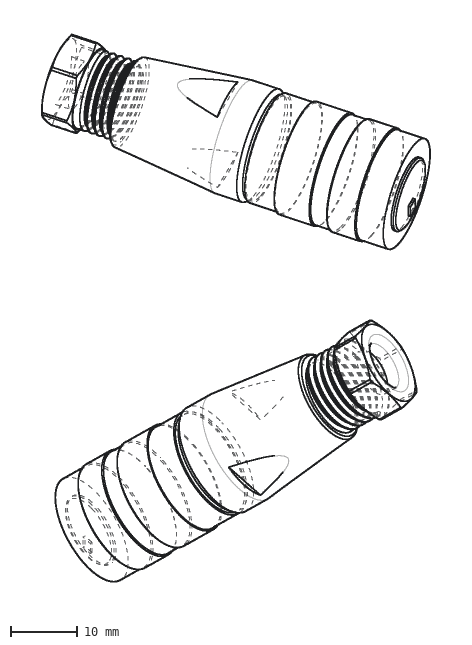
import cadquery as cq
import math

total_length = 58.25

nut_length = 5.0
nut_across_flats = 13.05
nut_corner_dia = 14.8
nut_face_dia = 12.95
nut_front_chamfer = 0.4
nut_back_chamfer = 0.45

bore_dia = 7.6
bore_depth = 3.15
bore_mouth_radius = 1.05

thread_dia = 12.5
four_turn_advance = 5.0
thread_pitch = four_turn_advance / 4
thread_depth = 0.65
thread_start_x = 5.6
thread_start_angle = -53.0
crest_width = 0.2
root_width = 0.2
shank_overlap = 3.8
root_radius = thread_dia / 2 - thread_depth

sleeve_start_x = 11.3
sleeve_end_x = 28.8
sleeve_start_dia = 14.35
sleeve_chamfer = 0.35
flat_end_x = 27.7
flats_width = 16.0

body_dia = 18.0
shell_dia = 17.6
barrel_dia = 17.5
neck_dia = 16.7
ring_chamfer = 0.2
neck_start_x = 33.2
neck_slope = 0.7
neck_end_x = 34.4
wide_ring_x = 39.4
wide_ring_end_x = 45.3
narrow_ring_x = 47.95
narrow_ring_end_x = 52.85
shell_end_x = 57.25

insert_dia = 11.7
insert_end_x = 57.9
insert_chamfer = 0.3
key_width = 1.75
key_bottom_z = -3.8
key_top_z = -1.65


def revolve_profile(points):
    """Solid of revolution about X from (x, radius) outline points, closed along the axis."""
    first_x = points[0][0]
    last_x = points[-1][0]
    outline = [(first_x, 0)] + points + [(last_x, 0)]
    return cq.Workplane("XY").polyline(outline).close().revolve(360, (0, 0, 0), (1, 0, 0))


def disc(start_x, end_x, diameter):
    return cq.Workplane("YZ", origin=(start_x, 0, 0)).circle(diameter / 2).extrude(end_x - start_x)


def make_nut():
    """Hexagon nut with corners on the Y axis, turned corners and chamfered ends."""
    hexagon_dia = nut_across_flats / math.cos(math.pi / 6)
    hexagon = cq.Workplane("YZ").polygon(6, hexagon_dia).extrude(nut_length)
    turned_blank = revolve_profile([
        (0, nut_face_dia / 2),
        (nut_front_chamfer, nut_corner_dia / 2),
        (nut_length - nut_back_chamfer, nut_corner_dia / 2),
        (nut_length, nut_face_dia / 2),
    ])
    return hexagon.intersect(turned_blank)


def make_shank():
    """Shank with a right-hand helical groove that starts just behind the nut."""
    run = sleeve_start_x + thread_pitch - thread_start_x
    path = cq.Wire.makeHelix(thread_pitch, run, root_radius)
    overshoot = 0.1
    half_root = root_width / 2
    half_crest_gap = (thread_pitch - crest_width) / 2
    flank_slope = (half_crest_gap - half_root) / thread_depth
    half_mouth = half_crest_gap + flank_slope * overshoot
    mouth_radius = thread_dia / 2 + overshoot
    groove = (
        cq.Workplane("XZ")
        .polyline([
            (root_radius, -half_root),
            (mouth_radius, -half_mouth),
            (mouth_radius, half_mouth),
            (root_radius, half_root),
        ])
        .close()
        .sweep(cq.Workplane(path), isFrenet=True)
        .rotate((0, 0, 0), (0, 1, 0), 90)
        .rotate((0, 0, 0), (1, 0, 0), thread_start_angle)
        .translate((thread_start_x, 0, 0))
    )
    return disc(nut_length / 2, sleeve_start_x + shank_overlap, thread_dia).cut(groove)


def make_sleeve():
    """Tapered sleeve with wrench flats above and below."""
    sleeve = revolve_profile([
        (sleeve_start_x, sleeve_start_dia / 2 - sleeve_chamfer),
        (sleeve_start_x + sleeve_chamfer, sleeve_start_dia / 2),
        (sleeve_end_x, body_dia / 2),
    ])
    flat_length = flat_end_x - sleeve_start_x
    cutter = cq.Workplane("XY").box(flat_length, body_dia, body_dia, centered=(False, True, True))
    for side in (1, -1):
        cutter_z = side * (flats_width + body_dia) / 2
        sleeve = sleeve.cut(cutter.translate((sleeve_start_x, 0, cutter_z)))
    return sleeve


def make_coupling():
    """Stepped rings, neck groove and shell."""
    return revolve_profile([
        (sleeve_end_x, body_dia / 2),
        (neck_start_x, body_dia / 2),
        (neck_start_x + neck_slope, neck_dia / 2),
        (neck_end_x, neck_dia / 2),
        (neck_end_x, barrel_dia / 2),
        (wide_ring_x, barrel_dia / 2),
        (wide_ring_x, body_dia / 2),
        (wide_ring_end_x - ring_chamfer, body_dia / 2),
        (wide_ring_end_x, shell_dia / 2),
        (narrow_ring_x, shell_dia / 2),
        (narrow_ring_x + ring_chamfer, body_dia / 2),
        (narrow_ring_end_x - ring_chamfer, body_dia / 2),
        (narrow_ring_end_x, shell_dia / 2),
        (shell_end_x, shell_dia / 2),
    ])


def make_insert():
    """Chamfered insert face with its coding key."""
    insert = disc(shell_end_x, insert_end_x, insert_dia).faces(">X").chamfer(insert_chamfer)
    key = cq.Workplane("XY").box(
        total_length - shell_end_x, key_width, key_top_z - key_bottom_z, centered=(False, True, False)
    )
    return insert.union(key.translate((shell_end_x, 0, key_bottom_z)))


def make_bore():
    """Blind cable bore with a rounded mouth, as a cutting body."""
    bore_radius = bore_dia / 2
    return (
        cq.Workplane("XY")
        .lineTo(0, bore_radius + bore_mouth_radius)
        .radiusArc((bore_mouth_radius, bore_radius), -bore_mouth_radius)
        .lineTo(bore_depth, bore_radius)
        .lineTo(bore_depth, 0)
        .close()
        .revolve(360, (0, 0, 0), (1, 0, 0))
    )


result = (
    make_shank()
    .union(make_nut())
    .union(make_sleeve())
    .union(make_coupling())
    .union(make_insert())
    .cut(make_bore())
)